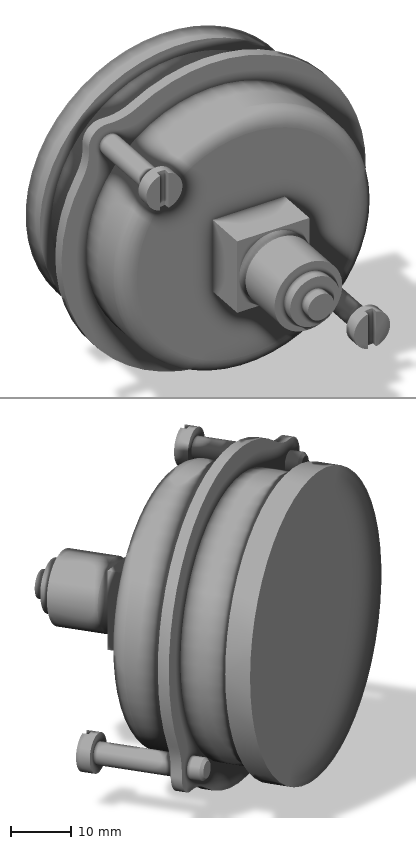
import cadquery as cq
import math

BEZEL_END = 4.5
FLANGE_START = 13.6
CASE_END = 26.8
BLOCK_END = 34.6
THREAD_START = 36.6
THREAD_END = 45.8
COLLAR_END = 47.8
OVERALL_LENGTH = 49.8

BEZEL_DIAMETER = 54.0
CASE_DIAMETER = 49.5
CASE_EDGE_RADIUS = 3.0

FLANGE_THICKNESS = 2.0
FLANGE_RADIUS = 29.52
EAR_DISTANCE = 29.3
EAR_RADIUS = 3.5
EAR_BLEND_RADIUS = 10.0

SCREW_DISTANCE = 28.5
SCREW_OFFSET = SCREW_DISTANCE / math.sqrt(2)
SCREW_DIAMETER = 4.0
SCREW_TIP_CHAMFER = 0.5
SCREW_START = 10.8
HEAD_DIAMETER = 7.0
HEAD_START = 30.5
HEAD_THICKNESS = 2.5
SLOT_WIDTH = 1.6
SLOT_DEPTH = 1.1

BLOCK_WIDTH = 14.0
THREAD_DIAMETER = 13.16
GROOVE_DEPTH = 0.4
COLLAR_DIAMETER = 9.5
SPIGOT_DIAMETER = 5.0


def cylinder(start, end, diameter, y=0.0, z=0.0):
    """Round bar along X between two stations."""
    return (
        cq.Workplane("YZ", origin=(start, y, z))
        .circle(diameter / 2)
        .extrude(end - start)
    )


def make_case():
    bezel = cylinder(0, BEZEL_END, BEZEL_DIAMETER)
    body = cylinder(0, CASE_END, CASE_DIAMETER).faces(">X").edges().fillet(CASE_EDGE_RADIUS)
    return bezel.union(body)


def polar_point(radius, angle):
    return (radius * math.cos(angle), radius * math.sin(angle))


def make_flange():
    """Disc whose two opposite ears run into the rim through concave blends."""
    blend_distance = FLANGE_RADIUS + EAR_BLEND_RADIUS
    ear_to_blend = EAR_RADIUS + EAR_BLEND_RADIUS
    blend_angle = math.acos(
        (blend_distance**2 + EAR_DISTANCE**2 - ear_to_blend**2)
        / (2 * blend_distance * EAR_DISTANCE)
    )
    blend_y = blend_distance * math.sin(blend_angle)
    blend_x = blend_distance * math.cos(blend_angle)
    ear_angle = math.atan2(blend_y, blend_x - EAR_DISTANCE)

    rim_x, rim_y = polar_point(FLANGE_RADIUS, blend_angle)
    ear_dx, ear_y = polar_point(EAR_RADIUS, ear_angle)
    ear_x = EAR_DISTANCE + ear_dx
    tip_x = EAR_DISTANCE + EAR_RADIUS
    middle_angle = (blend_angle + ear_angle) / 2 + math.pi
    middle_dx, middle_dy = polar_point(EAR_BLEND_RADIUS, middle_angle)
    middle_x = blend_x + middle_dx
    middle_y = blend_y + middle_dy

    outline = (
        cq.Workplane("YZ", origin=(FLANGE_START, 0, 0))
        .moveTo(rim_x, rim_y)
        .threePointArc((0, FLANGE_RADIUS), (-rim_x, rim_y))
        .threePointArc((-middle_x, middle_y), (-ear_x, ear_y))
        .threePointArc((-tip_x, 0), (-ear_x, -ear_y))
        .threePointArc((-middle_x, -middle_y), (-rim_x, -rim_y))
        .threePointArc((0, -FLANGE_RADIUS), (rim_x, -rim_y))
        .threePointArc((middle_x, -middle_y), (ear_x, -ear_y))
        .threePointArc((tip_x, 0), (ear_x, ear_y))
        .threePointArc((middle_x, middle_y), (rim_x, rim_y))
        .close()
    )
    return outline.extrude(FLANGE_THICKNESS).rotate((0, 0, 0), (1, 0, 0), -45)


def make_screw(y, z):
    """Slotted cheese-head screw with its tip towards the front."""
    head_end = HEAD_START + HEAD_THICKNESS
    shank = cylinder(SCREW_START, HEAD_START, SCREW_DIAMETER, y, z)
    shank = shank.faces("<X").chamfer(SCREW_TIP_CHAMFER)
    head = cylinder(HEAD_START, head_end, HEAD_DIAMETER, y, z)
    slot = cq.Workplane("XY").box(2 * SLOT_DEPTH, SLOT_WIDTH, 2 * HEAD_DIAMETER)
    return shank.union(head).cut(slot.translate((head_end, y, z)))


def make_connection():
    """Square wrench block, grooved threaded stem, collar and spigot."""
    block = (
        cq.Workplane("YZ", origin=(CASE_END, 0, 0))
        .rect(BLOCK_WIDTH, BLOCK_WIDTH)
        .extrude(BLOCK_END - CASE_END)
    )
    thread_radius = THREAD_DIAMETER / 2
    groove_middle = (BLOCK_END + THREAD_START) / 2
    stem = (
        cq.Workplane("XY")
        .moveTo(BLOCK_END, 0)
        .lineTo(BLOCK_END, thread_radius)
        .threePointArc((groove_middle, thread_radius - GROOVE_DEPTH), (THREAD_START, thread_radius))
        .lineTo(THREAD_END, thread_radius)
        .lineTo(THREAD_END, 0)
        .close()
        .revolve(360, (0, 0, 0), (1, 0, 0))
    )
    collar = cylinder(THREAD_END, COLLAR_END, COLLAR_DIAMETER)
    spigot = cylinder(COLLAR_END, OVERALL_LENGTH, SPIGOT_DIAMETER)
    return block.union(stem).union(collar).union(spigot)


result = make_case().union(make_flange()).union(make_connection())
for side in (-1, 1):
    result = result.union(make_screw(side * SCREW_OFFSET, -side * SCREW_OFFSET))